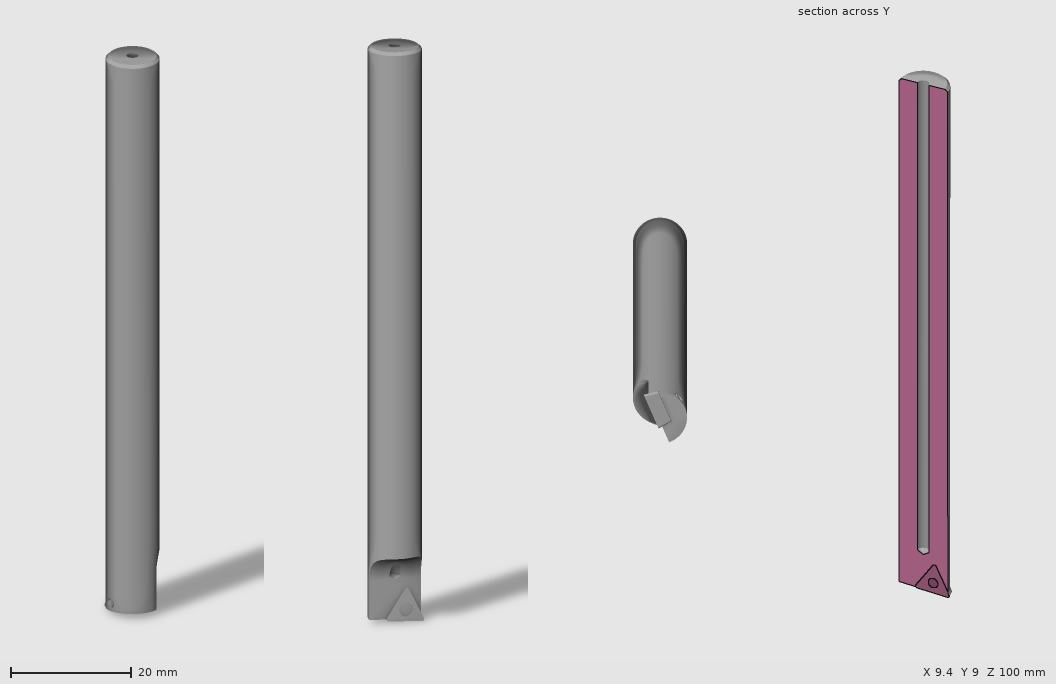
import cadquery as cq
import math

total_length = 100.0
shank_diameter = 9.0
shank_radius = shank_diameter / 2
tail_chamfer = 0.5

coolant_diameter = 2.0
coolant_end_z = 8.0
drill_point_angle = 118.0

flat_y = 0.2
chip_pocket_top_z = 12.2
chip_pocket_radius = 4.5

end_height = 0.5
end_rise_x = 4.0
end_rise_y = 5.7

inscribed_diameter = 4.0
insert_thickness = 2.4
clearance_angle = 5.0
nose_radius = 0.3
lead_angle = 4.0
rake_angle = 4.0
nose_x = -4.9
nose_y = 0.9

screw_diameter = 1.2
screw_exit_diameter = 1.6
screw_exit_depth = 0.5
screw_head_diameter = 2.4
screw_head_angle = 60.0
screw_end_y = -4.0
screw_head_sink = 0.1

corner_count = 3
half_corner_angle = 90 / corner_count
centre_to_corner = inscribed_diameter / 2 / math.sin(math.radians(half_corner_angle))
corner_to_nose_arc = nose_radius / math.sin(math.radians(half_corner_angle))
centre_to_nose_arc = centre_to_corner - corner_to_nose_arc
nose_direction = math.radians(lead_angle + half_corner_angle)
rake = math.radians(rake_angle)
centre_height = nose_radius + centre_to_nose_arc * math.sin(nose_direction)
insert_plane = cq.Plane(
    origin=(
        nose_x + nose_radius + centre_to_nose_arc * math.cos(nose_direction),
        nose_y - centre_height * math.sin(rake),
        centre_height * math.cos(rake),
    ),
    xDir=(-1, 0, 0),
    normal=(0, math.cos(rake), math.sin(rake)),
)


def make_shank_blank():
    """Round bar with a chamfered tail and a slanted lower end."""
    bar = cq.Workplane("XY").circle(shank_radius).extrude(total_length)
    bar = bar.faces(">Z").chamfer(tail_chamfer)
    below_end = (
        cq.Workplane("XY")
        .rect(3 * shank_diameter, 3 * shank_diameter)
        .extrude(-shank_diameter)
        .rotate((0, 0, 0), (0, 1, 0), -end_rise_x)
        .rotate((0, 0, 0), (1, 0, 0), -end_rise_y)
        .translate((0, 0, end_height))
    )
    return bar.cut(below_end)


def make_chip_pocket():
    """Space above the flat, closed at its upper end by a quarter round."""
    arc_centre_z = chip_pocket_top_z - chip_pocket_radius
    arc_centre_y = flat_y + chip_pocket_radius
    slant = chip_pocket_radius * math.sin(math.radians(45))
    return (
        cq.Workplane("YZ")
        .moveTo(flat_y, -shank_radius)
        .lineTo(flat_y, arc_centre_z)
        .threePointArc(
            (arc_centre_y - slant, arc_centre_z + slant),
            (arc_centre_y, chip_pocket_top_z),
        )
        .lineTo(arc_centre_y, -shank_radius)
        .close()
        .extrude(shank_diameter, both=True)
    )


def make_coolant_bore():
    """Axial bore from the tail, ending in a drill point behind the insert."""
    radius = coolant_diameter / 2
    point_depth = radius / math.tan(math.radians(drill_point_angle / 2))
    return (
        cq.Workplane("XZ")
        .moveTo(0, total_length)
        .lineTo(radius, total_length)
        .lineTo(radius, coolant_end_z)
        .lineTo(0, coolant_end_z - point_depth)
        .close()
        .revolve(360, (0, 0), (0, 1))
    )


def make_insert_blank():
    """Triangular insert before its screw hole, tapered below the rake face."""
    corners = []
    for turn in range(corner_count):
        angle = nose_direction + math.radians(360 / corner_count * turn)
        corners.append((centre_to_corner * math.cos(angle), -centre_to_corner * math.sin(angle)))
    blank = (
        cq.Workplane(insert_plane)
        .polyline(corners)
        .close()
        .extrude(-insert_thickness, taper=clearance_angle)
    )
    face_edges = cq.selectors.PerpendicularDirSelector(insert_plane.zDir)
    flank_edges = blank.edges(cq.selectors.InverseSelector(face_edges))
    return flank_edges.fillet(nose_radius)


def make_screw():
    """Countersunk screw along Y with its head sunk just below the rake face."""
    body_radius = screw_diameter / 2
    head_radius = screw_head_diameter / 2
    head_depth = (head_radius - body_radius) / math.tan(math.radians(screw_head_angle / 2))
    head_y = insert_plane.origin.y - screw_head_sink
    return (
        cq.Workplane("XY")
        .moveTo(0, head_y)
        .lineTo(head_radius, head_y)
        .lineTo(body_radius, head_y - head_depth)
        .lineTo(body_radius, screw_end_y)
        .lineTo(0, screw_end_y)
        .close()
        .revolve(360, (0, 0), (0, 1))
        .translate((insert_plane.origin.x, 0, insert_plane.origin.z))
    )


def make_cylinder_along_y(diameter, start_y, end_y):
    """Round cutter on the screw axis."""
    return (
        cq.Workplane("XZ", origin=(insert_plane.origin.x, start_y, insert_plane.origin.z))
        .circle(diameter / 2)
        .extrude(start_y - end_y)
    )


screw = make_screw()
insert_blank = make_insert_blank()

head_clearance = make_cylinder_along_y(
    screw_head_diameter, shank_radius, insert_plane.origin.y - screw_head_sink
)
insert = insert_blank.cut(screw).cut(head_clearance)

screw_exit = make_cylinder_along_y(screw_exit_diameter, screw_end_y + screw_exit_depth, -shank_radius)
shank = (
    make_shank_blank()
    .cut(make_chip_pocket())
    .cut(make_coolant_bore())
    .cut(insert_blank)
    .cut(screw_exit)
    .cut(screw)
)

result = cq.Compound.makeCompound([shank.val(), insert.val(), screw.val()])